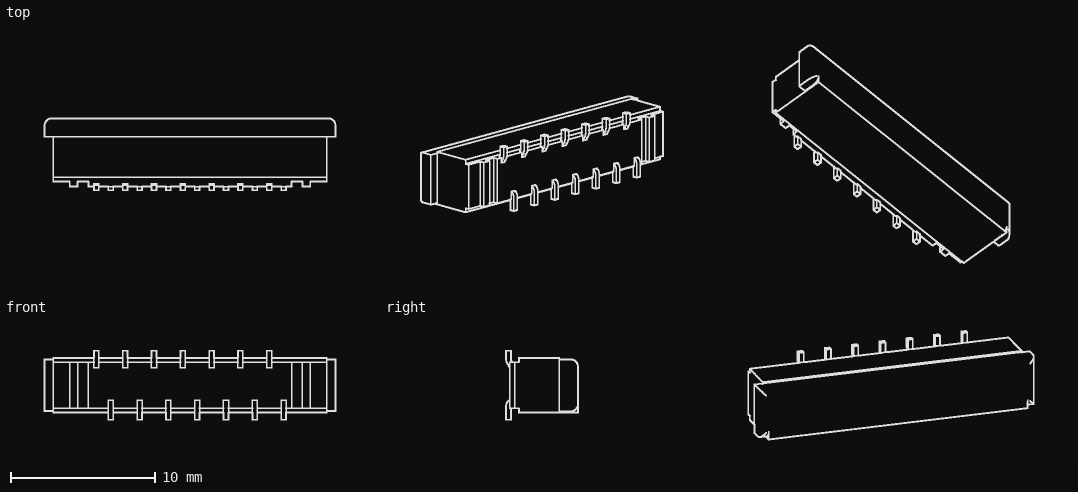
import cadquery as cq
import math

FLANGE_LENGTH = 20.2
FLANGE_HEIGHT = 3.6
FLANGE_DEPTH = 1.3
FLANGE_RADIUS = 0.5

BODY_LENGTH = 19.0
BODY_HEIGHT = 3.8
BODY_FRONT = 4.1
STEP_HEIGHT = 3.2
STEP_FRONT = 4.4

PLATE_LENGTH = 14.1
PLATE_FRONT = 4.75
RIB_WIDTH = 0.55
RIB_OFFSET = 8.075

LEADS_PER_ROW = 7
LEAD_PITCH = 2.0
LEAD_WIDTH = 0.35
LEAD_THICKNESS = 0.35
LEAD_FRONT = 5.0
LEAD_REACH = 2.4
ROW_SHIFT = LEAD_PITCH / 4
LEAD_ROOT_LENGTH = 0.6

UPPER_BEND_Z = 1.76
UPPER_BEND_RADIUS = 0.36
UPPER_BEND_ANGLE = 30
UPPER_BEND_FACETS = 2
LOWER_BEND_Z = 1.43
LOWER_BEND_RADIUS = 0.45
LOWER_BEND_ANGLE = 90
LOWER_BEND_FACETS = 6


def block(length, height, back, front, center_x=0):
    """Box centred on Z = 0, reaching forward (toward -Y) from back to front."""
    depth = front - back
    return cq.Workplane("XY").box(length, depth, height).translate((center_x, -(back + front) / 2, 0))


def make_flange():
    flange = block(FLANGE_LENGTH, FLANGE_HEIGHT, 0, FLANGE_DEPTH)
    return flange.faces(">Y").edges().fillet(FLANGE_RADIUS)


def make_housing():
    body = block(BODY_LENGTH, BODY_HEIGHT, FLANGE_DEPTH, BODY_FRONT)
    step = block(BODY_LENGTH, STEP_HEIGHT, BODY_FRONT, STEP_FRONT)
    base_thickness = BODY_HEIGHT / 2
    base = cq.Workplane("XY").box(BODY_LENGTH, FLANGE_DEPTH, base_thickness)
    base = base.translate((0, -FLANGE_DEPTH / 2, -base_thickness / 2))
    return make_flange().union(base).union(body).union(step)


def make_front_details():
    details = block(PLATE_LENGTH, STEP_HEIGHT, BODY_FRONT, PLATE_FRONT)
    for side in (-1, 1):
        details = details.union(block(RIB_WIDTH, STEP_HEIGHT, BODY_FRONT, PLATE_FRONT, side * RIB_OFFSET))
    return details


def make_lead(bend_z, outer_radius, bend_angle, facets):
    """Lead centred on X = 0 with its foot pointing up and its root buried in the housing."""
    center_y = -(LEAD_FRONT - outer_radius)
    angles = [math.radians(bend_angle * index / facets) for index in range(facets + 1)]

    def bend_points(radius):
        return [(center_y - radius * math.cos(a), bend_z - radius * math.sin(a)) for a in angles]

    def root_point(bend_end):
        y, z = bend_end
        return y + LEAD_ROOT_LENGTH * math.sin(angles[-1]), z - LEAD_ROOT_LENGTH * math.cos(angles[-1])

    outer = bend_points(outer_radius)
    inner = bend_points(outer_radius - LEAD_THICKNESS)
    outline = [(-LEAD_FRONT, LEAD_REACH)] + outer + [root_point(outer[-1]), root_point(inner[-1])]
    outline += inner[::-1] + [(-LEAD_FRONT + LEAD_THICKNESS, LEAD_REACH)]
    return cq.Workplane("YZ").polyline(outline).close().extrude(LEAD_WIDTH / 2, both=True)


def add_leads(part):
    upper_lead = make_lead(UPPER_BEND_Z, UPPER_BEND_RADIUS, UPPER_BEND_ANGLE, UPPER_BEND_FACETS)
    lower_lead = make_lead(LOWER_BEND_Z, LOWER_BEND_RADIUS, LOWER_BEND_ANGLE, LOWER_BEND_FACETS)
    lower_lead = lower_lead.mirror("XY")
    for index in range(LEADS_PER_ROW):
        row_x = (index - (LEADS_PER_ROW - 1) / 2) * LEAD_PITCH
        part = part.union(upper_lead.translate((row_x - ROW_SHIFT, 0, 0)))
        part = part.union(lower_lead.translate((row_x + ROW_SHIFT, 0, 0)))
    return part


result = add_leads(make_housing().union(make_front_details()))